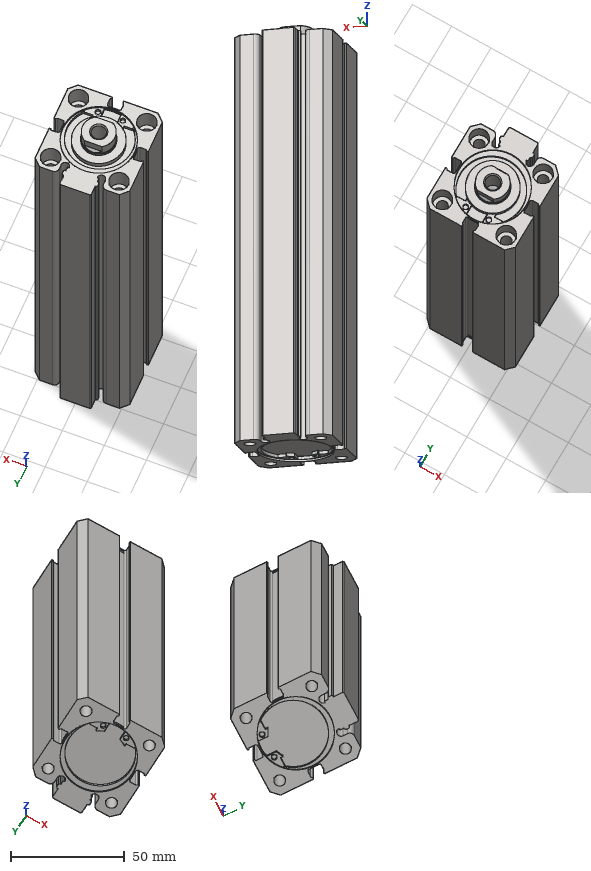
import cadquery as cq
import math


body_width = 45.0
body_height = 186.0
corner_chamfer = 3.5
half_width = body_width / 2

rail_width = 15.0
rail_height = 5.0
rail_tip_chamfer = 0.5
rail_bead_width = 17.0
rail_bead_length = 2.6
rail_bead_y = half_width - rail_bead_length / 2
rail_bead_chamfer = 0.6

undercut_radius = 1.9
undercut_x = 8.6
undercut_y = 18.0
undercut_mouth_round = 2.3

slot_mouth_width = 5.3
slot_mouth_chamfer = 0.2
slot_width = 6.6
slot_depth = 5.0
slot_lip = 0.8
slot_corner_radius = 0.8

bolt_pitch = 32.5
bolt_hole_diameter = 5.2
counterbore_diameter = 9.0
counterbore_depth = 10.0

bore_radius = 17.0
groove_wall = 0.14
groove_radius = half_width - slot_depth - groove_wall
ring_thickness = 1.5
ring_inset = 1.0
ring_bottoms = (ring_inset, body_height - ring_inset - ring_thickness)
ring_inner_radius = 15.6
ring_inner_offset = -1.3
ring_gap_half_width = 4.0
lug_inner_radius = 12.3
lug_half_span = 11.5
lug_ear_half_span = 7.4
lug_top_y = -11.3
lug_ear_top_y = -10.0
lug_hole_diameter = 2.5
lug_hole_x = 5.9
lug_hole_y = -13.65

collar_radius = 12.1
cover_thickness = 12.0
cover_face_inset = ring_inset + ring_thickness

rod_radius = 8.0
rod_end_radius = 7.7
rod_extension = 7.0
shoulder_extension = 1.5
wrench_flats = 13.0
wrench_flat_length = 4.2
thread_diameter = 6.8
thread_depth = 16.0
thread_chamfer = 0.6
drill_point_angle = 118.0

rod_top = body_height + rod_extension
rod_bottom = cover_face_inset + cover_thickness


def box_between(x0, x1, y0, y1, z0, z1):
    """Box given by its limits along X, Y and Z."""
    return cq.Workplane("XY").box(x1 - x0, y1 - y0, z1 - z0, centered=False).translate((x0, y0, z0))


def disc(radius, z0, height, x=0.0, y=0.0):
    """Upright cylinder standing on height z0."""
    return cq.Workplane("XY", origin=(x, y, z0)).circle(radius).extrude(height)


def make_t_slot():
    """Full-length T-slot cutter for the -Y face."""
    mouth = box_between(
        -slot_mouth_width / 2, slot_mouth_width / 2,
        -half_width, -half_width + slot_depth / 2, 0, body_height,
    )
    channel = box_between(
        -slot_width / 2, slot_width / 2,
        -half_width + slot_lip, -half_width + slot_depth, 0, body_height,
    )
    mouth_flare = (
        cq.Workplane("XY")
        .moveTo(-slot_mouth_width / 2 - slot_mouth_chamfer, -half_width)
        .lineTo(slot_mouth_width / 2 + slot_mouth_chamfer, -half_width)
        .lineTo(slot_mouth_width / 2, -half_width + slot_mouth_chamfer)
        .lineTo(-slot_mouth_width / 2, -half_width + slot_mouth_chamfer)
        .close().extrude(body_height)
    )
    return channel.edges("|Z").fillet(slot_corner_radius).union(mouth).union(mouth_flare)


def make_undercut(side):
    """Cutter for the round-bottomed channel beside the rail; side is +1 or -1."""
    mouth = box_between(
        undercut_x - undercut_radius, undercut_x + undercut_radius,
        undercut_y, half_width, 0, body_height,
    )
    edge_x = undercut_x + undercut_radius
    mouth_corner = box_between(
        edge_x, edge_x + undercut_mouth_round,
        half_width - undercut_mouth_round, half_width, 0, body_height,
    ).cut(disc(undercut_mouth_round, 0, body_height,
               edge_x + undercut_mouth_round, half_width - undercut_mouth_round))
    channel = disc(undercut_radius, 0, body_height, undercut_x, undercut_y).union(mouth).union(mouth_corner)
    return channel if side > 0 else channel.mirror("YZ")


def make_rail():
    """Rail with a rounded-off bead along each flank."""
    rail = box_between(
        -rail_width / 2, rail_width / 2, undercut_y, half_width + rail_height, 0, body_height,
    ).edges("|Z and >Y").chamfer(rail_tip_chamfer)
    bead = box_between(
        -rail_bead_width / 2, rail_bead_width / 2,
        rail_bead_y - rail_bead_length / 2, rail_bead_y + rail_bead_length / 2, 0, body_height,
    ).edges("|Z").chamfer(rail_bead_chamfer)
    return rail.union(bead)


def make_housing():
    housing = (
        cq.Workplane("XY").rect(body_width, body_width).extrude(body_height)
        .edges("|Z").chamfer(corner_chamfer)
    )
    for side in (-1, 1):
        housing = housing.cut(make_undercut(side))
    housing = housing.union(make_rail())
    for angle in (-90, 0, 90):
        housing = housing.cut(make_t_slot().rotate((0, 0, 0), (0, 0, 1), angle))
    housing = (
        housing.faces(">Z").workplane(origin=(0, 0, body_height))
        .rect(bolt_pitch, bolt_pitch, forConstruction=True).vertices()
        .cboreHole(bolt_hole_diameter, counterbore_diameter, counterbore_depth)
    )
    housing = housing.cut(disc(bore_radius, 0, body_height))
    for groove_bottom in ring_bottoms:
        housing = housing.cut(disc(groove_radius, groove_bottom, ring_thickness))
    return housing


def make_retaining_ring(z0):
    """Internal retaining ring: eccentric band, two drilled lugs and a gap between them."""
    z1 = z0 + ring_thickness
    full = disc(groove_radius, z0, ring_thickness)
    band = full.cut(disc(ring_inner_radius, z0, ring_thickness, 0, ring_inner_offset))
    lugs = box_between(-lug_half_span, lug_half_span, -groove_radius, lug_top_y, z0, z1)
    lugs = lugs.union(
        box_between(-lug_ear_half_span, lug_ear_half_span, -groove_radius, lug_ear_top_y, z0, z1)
    )
    lugs = lugs.intersect(full).cut(disc(lug_inner_radius, z0, ring_thickness))
    gap = box_between(-ring_gap_half_width, ring_gap_half_width, -groove_radius, lug_ear_top_y, z0, z1)
    ring = band.union(lugs).cut(gap)
    for side in (-1, 1):
        ring = ring.cut(disc(lug_hole_diameter / 2, z0, ring_thickness, side * lug_hole_x, lug_hole_y))
    return ring


def make_rod_cover():
    """Front cover with a collar flush with the housing end, bored for the rod."""
    face_z = body_height - cover_face_inset
    flange = disc(bore_radius, face_z - cover_thickness, cover_thickness)
    collar = disc(collar_radius, face_z, cover_face_inset)
    rod_bore = disc(rod_radius, face_z - cover_thickness, cover_thickness + cover_face_inset)
    return flange.union(collar).cut(rod_bore)


def make_rear_cover():
    """Plain disc held by the rear retaining ring."""
    return disc(bore_radius, cover_face_inset, cover_thickness)


def make_rod():
    shoulder_z = body_height + shoulder_extension
    rod = disc(rod_radius, rod_bottom, shoulder_z - rod_bottom)
    rod = rod.faces(">Z").chamfer(rod_radius - rod_end_radius)
    rod = rod.union(disc(rod_end_radius, shoulder_z, rod_top - shoulder_z))
    flat_y = wrench_flats / 2
    flat_bottom = rod_top - wrench_flat_length
    runout = rod_radius - flat_y
    flat_cut = (
        cq.Workplane("YZ")
        .moveTo(flat_y, rod_top)
        .lineTo(flat_y, flat_bottom)
        .lineTo(flat_y + runout, flat_bottom - runout)
        .lineTo(flat_y + runout, rod_top)
        .close().extrude(rod_radius, both=True)
    )
    rod = rod.cut(flat_cut).cut(flat_cut.mirror("XZ"))
    thread_radius = thread_diameter / 2
    point_depth = thread_radius / math.tan(math.radians(drill_point_angle / 2))
    thread_hole = (
        cq.Workplane("XZ")
        .moveTo(0, rod_top)
        .lineTo(thread_radius + thread_chamfer, rod_top)
        .lineTo(thread_radius, rod_top - thread_chamfer)
        .lineTo(thread_radius, rod_top - thread_depth)
        .lineTo(0, rod_top - thread_depth - point_depth)
        .close().revolve(360, (0, 0, 0), (0, 1, 0))
    )
    return rod.cut(thread_hole)


housing = make_housing()
rod_cover = make_rod_cover()
rear_cover = make_rear_cover()
rod = make_rod()
retaining_rings = [make_retaining_ring(z0) for z0 in ring_bottoms]

result = cq.Compound.makeCompound([
    housing.val(),
    rod_cover.val(),
    rear_cover.val(),
    rod.val(),
    *[ring.val() for ring in retaining_rings],
])